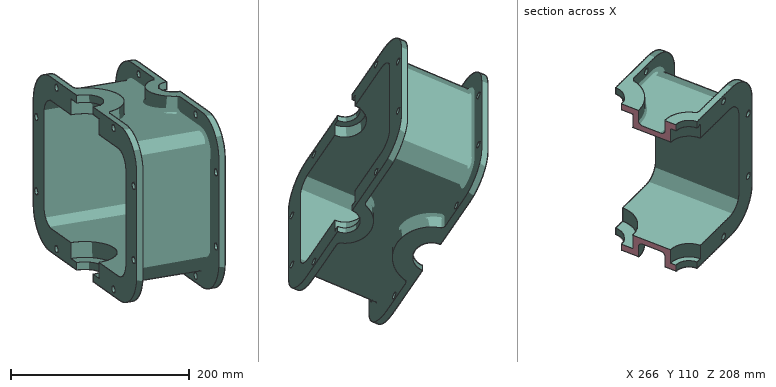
import cadquery as cq

LENGTH = 266.0
DEPTH = 110.0
HEIGHT = 208.0

FLANGE_THICKNESS = 8.0
FLANGE_CORNER_RADIUS = 43.0
FLANGE_OVERHANG = 20.0
WALL_THICKNESS = 8.0
BORE_CORNER_RADIUS = 20.0
FILLET_RADIUS = 5.0

FRONT_BOSS_RADIUS = 44.0
FRONT_SHAFT_RADIUS = 21.0
REAR_BOSS_RADIUS = 32.0
REAR_SHAFT_RADIUS = 17.0
BOSS_WALL = 8.0
BOSS_SKIN = 9.0

BOLT_DIAMETER = 8.0
BOLT_EDGE_MARGIN = 8.0
BOLT_HALF_SPACING_X = 73.2
BOLT_HALF_SPACING_Z = 44.2

FRONT_Y = -DEPTH / 2
REAR_Y = DEPTH / 2
BOSSES = [
    (FRONT_Y, FRONT_BOSS_RADIUS, FRONT_SHAFT_RADIUS),
    (REAR_Y, REAR_BOSS_RADIUS, REAR_SHAFT_RADIUS),
]


def rounded_block(inset, corner_radius, y_start, y_end):
    """Rounded rectangle, inset from the outer envelope, running along Y."""
    block = cq.Workplane("XY").box(LENGTH - 2 * inset, y_end - y_start, HEIGHT - 2 * inset)
    return block.translate((0, (y_start + y_end) / 2, 0)).edges("|Y").fillet(corner_radius)


def vertical_cylinder(y, radius, height):
    """Cylinder along Z, centred at mid height on the given Y position."""
    return cq.Workplane("XY").center(0, y).circle(radius).extrude(height / 2, both=True)


def outer_shell():
    """Solid tube with a flange at each end and half-round bosses, blended together."""
    tube_corner_radius = BORE_CORNER_RADIUS + WALL_THICKNESS
    shell = rounded_block(FLANGE_OVERHANG, tube_corner_radius, FRONT_Y, REAR_Y)
    shell = shell.union(rounded_block(0, FLANGE_CORNER_RADIUS, FRONT_Y, FRONT_Y + FLANGE_THICKNESS))
    shell = shell.union(rounded_block(0, FLANGE_CORNER_RADIUS, REAR_Y - FLANGE_THICKNESS, REAR_Y))
    envelope = cq.Workplane("XY").box(LENGTH, DEPTH, HEIGHT)
    for y, boss_radius, _ in BOSSES:
        shell = shell.union(vertical_cylinder(y, boss_radius, HEIGHT).intersect(envelope))
    return shell.edges(inner_corners()).fillet(FILLET_RADIUS)


def inner_corners():
    """Selector for the concave edges where flanges, tube and bosses meet.

    The box holds the midpoints of those edges but stops short of the flange rims.
    The tube's own corner seams run along Y and are left out."""
    margin = 0.3
    half_x = LENGTH / 2 - FLANGE_OVERHANG + margin
    half_y = DEPTH / 2 - FLANGE_THICKNESS + margin
    half_z = HEIGHT / 2 - margin
    near_tube = cq.selectors.BoxSelector((-half_x, -half_y, -half_z), (half_x, half_y, half_z))
    along_y = cq.selectors.ParallelDirSelector(cq.Vector(0, 1, 0))
    return near_tube - along_y


def bore():
    """Rectangular opening through the tube."""
    inset = FLANGE_OVERHANG + WALL_THICKNESS
    return rounded_block(inset, BORE_CORNER_RADIUS, FRONT_Y, REAR_Y)


def bolt_holes():
    """Eight holes along Y: two near each side of the flange rim."""
    edge_x = LENGTH / 2 - BOLT_EDGE_MARGIN
    edge_z = HEIGHT / 2 - BOLT_EDGE_MARGIN
    centres = []
    for side_x in (-1, 1):
        for side_z in (-1, 1):
            centres.append((side_x * edge_x, side_z * BOLT_HALF_SPACING_Z))
            centres.append((side_x * BOLT_HALF_SPACING_X, side_z * edge_z))
    return cq.Workplane("XZ").pushPoints(centres).circle(BOLT_DIAMETER / 2).extrude(DEPTH, both=True)


result = outer_shell().cut(bore()).cut(bolt_holes())
for boss_y, outer_radius, shaft_radius in BOSSES:
    result = result.cut(vertical_cylinder(boss_y, shaft_radius, HEIGHT))
    result = result.cut(vertical_cylinder(boss_y, outer_radius - BOSS_WALL, HEIGHT - 2 * BOSS_SKIN))